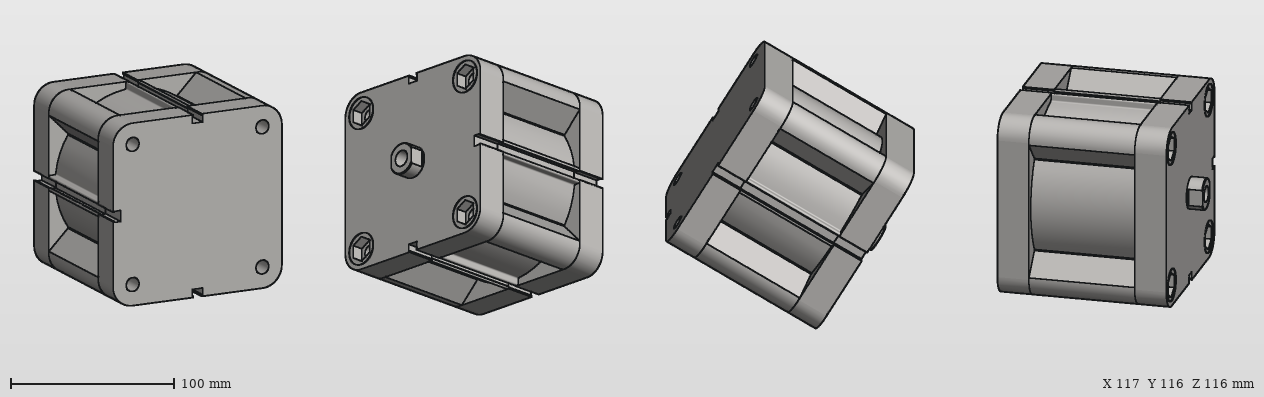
import cadquery as cq
import math

body_width = 116.0
half_width = body_width / 2
corner_radius = 13.5
bolt_offset = half_width - corner_radius
cap_length = 20.0
tube_length = 67.0

bolt_hole_diameter = 8.8
socket_recess_diameter = 20.5
socket_recess_depth = 0.5
hex_across_flats = 14.0
hex_depth = 7.5
hex_corner_diameter = hex_across_flats / math.cos(math.pi / 6)

slot_mouth_width = 6.0
slot_inner_width = 7.0
slot_angles = (0, 90, 180)
cap_slot_depth = 5.3
cap_lip_depth = 1.0

barrel_radius = 53.5
pocket_floor = 44.8
lobe_edge = 43.2
rib_width = 10.0
rib_fillet = 1.0
slot_mouth_fillet = 0.5
tube_slot_depth = 4.8
tube_lip_depth = 1.5

rod_diameter = 20.0
rod_projection = 10.0
rod_chamfer = 0.5
rod_across_flats = 17.0
rod_flat_length = 9.0
thread_hole_diameter = 10.2
thread_hole_depth = 20.0
drill_point_angle = 118.0

tube_start = cap_length
rear_cap_start = tube_start + tube_length


def section(x):
    """Workplane across the axis at x; local axes are global Y and Z."""
    return cq.Workplane("YZ", origin=(x, 0, 0))


def bolt_points(plane):
    spacing = 2 * bolt_offset
    return plane.rect(spacing, spacing, forConstruction=True).vertices()


def on_slot_sides(feature):
    """Copy a feature made at +Z to every side that carries a slot."""
    copies = cq.Workplane("XY")
    for angle in slot_angles:
        copies = copies.add(feature.rotate((0, 0, 0), (1, 0, 0), angle))
    return copies.combine()


def slot_cutter(start, length, depth, lip_depth):
    """T-slot open on the +Z side and undercut below a lip."""
    mouth = section(start).center(0, half_width - depth / 2).rect(slot_mouth_width, depth).extrude(length)
    inner_depth = depth - lip_depth
    inner_middle = half_width - lip_depth - inner_depth / 2
    inner = section(start).center(0, inner_middle).rect(slot_inner_width, inner_depth).extrude(length)
    return mouth.union(inner)


def make_cap(start):
    cap = section(start).rect(body_width, body_width).extrude(cap_length)
    cap = cap.edges("|X").fillet(corner_radius)
    cap = cap.cut(bolt_points(section(start)).circle(bolt_hole_diameter / 2).extrude(cap_length))
    return cap.cut(on_slot_sides(slot_cutter(start, cap_length, cap_slot_depth, cap_lip_depth)))


def make_front_cap():
    cap = make_cap(0)
    recess = bolt_points(section(0)).circle(socket_recess_diameter / 2).extrude(socket_recess_depth)
    hexagon = cq.Sketch().regularPolygon(hex_corner_diameter / 2, 6)
    hexes = bolt_points(section(socket_recess_depth)).placeSketch(hexagon).extrude(hex_depth)
    rod_bore = section(0).circle(rod_diameter / 2).extrude(cap_length)
    return cap.cut(recess).cut(hexes).cut(rod_bore)


def make_lobe_block():
    """Square core whose corners flare out along 45 degree facets to round bolt lobes."""
    rise = math.sqrt(corner_radius ** 2 - (bolt_offset - lobe_edge) ** 2)
    lobe_height = bolt_offset + rise
    facet_foot = lobe_edge - (lobe_height - pocket_floor)
    lobe_middle = bolt_offset + corner_radius * math.sqrt(0.5)

    outline = section(tube_start).moveTo(-facet_foot, pocket_floor)
    quarter = [
        (facet_foot, pocket_floor),
        (lobe_edge, lobe_height),
        (lobe_middle, lobe_middle),
        (lobe_height, lobe_edge),
        (pocket_floor, facet_foot),
    ]
    for _ in range(4):
        floor_end, lobe_start, lobe_mid, lobe_end, facet_end = quarter
        outline = outline.lineTo(*floor_end).lineTo(*lobe_start)
        outline = outline.threePointArc(lobe_mid, lobe_end).lineTo(*facet_end)
        quarter = [(v, -u) for u, v in quarter]
    return outline.close().extrude(tube_length)


def make_rib():
    """Plain rib on the +Z side, rounded along its two outer edges."""
    rib = section(tube_start).center(0, half_width / 2).rect(rib_width, half_width).extrude(tube_length)
    return rib.edges("|X and >Z").fillet(rib_fillet)


def make_rib_and_barrel():
    """Round barrel with a rib on each slot side and a fillet along each rib foot."""
    barrel = section(tube_start).circle(barrel_radius).extrude(tube_length)
    barrel = barrel.union(on_slot_sides(make_rib()))
    half_rib = rib_width / 2
    rib_foot = math.sqrt(barrel_radius ** 2 - half_rib ** 2)
    middle = tube_start + tube_length / 2
    for angle in slot_angles:
        turn = math.radians(angle)
        for u in (-half_rib, half_rib):
            y = u * math.cos(turn) - rib_foot * math.sin(turn)
            z = u * math.sin(turn) + rib_foot * math.cos(turn)
            foot_edge = cq.selectors.NearestToPointSelector((middle, y, z))
            barrel = barrel.edges("|X").edges(foot_edge).fillet(rib_fillet)
    return barrel


def make_tube_slot():
    """Slot through the rib with a mouth that widens in a small round."""
    cutter = slot_cutter(tube_start, tube_length, tube_slot_depth, tube_lip_depth)
    half_mouth = slot_mouth_width / 2
    r = slot_mouth_fillet
    flare = (
        section(tube_start)
        .moveTo(-half_mouth - r, half_width)
        .radiusArc((-half_mouth, half_width - r), r)
        .lineTo(half_mouth, half_width - r)
        .radiusArc((half_mouth + r, half_width), r)
        .close()
        .extrude(tube_length)
    )
    return cutter.union(flare)


def make_tube():
    tube = make_lobe_block().union(make_rib_and_barrel())
    tube = tube.cut(on_slot_sides(make_tube_slot()))
    holes = bolt_points(section(tube_start)).circle(bolt_hole_diameter / 2).extrude(tube_length)
    return tube.cut(holes)


def make_rod():
    tip = -rod_projection
    rod = section(tip).circle(rod_diameter / 2).extrude(rod_projection + cap_length)
    rod = rod.faces("<X").edges().chamfer(rod_chamfer)
    flats = (
        section(tip)
        .rect(2 * rod_diameter, 2 * rod_diameter)
        .rect(rod_across_flats, 2 * rod_diameter)
        .extrude(rod_flat_length)
    )
    radius = thread_hole_diameter / 2
    point_length = radius / math.tan(math.radians(drill_point_angle / 2))
    thread_hole = (
        cq.Workplane("XY", origin=(tip, 0, 0))
        .polyline([(0, 0), (0, radius), (thread_hole_depth, radius), (thread_hole_depth + point_length, 0)])
        .close()
        .revolve(360, (0, 0, 0), (1, 0, 0))
    )
    return rod.cut(flats).cut(thread_hole)


front_cap = make_front_cap()
tube = make_tube()
rear_cap = make_cap(rear_cap_start)
rod = make_rod()

result = cq.Compound.makeCompound([front_cap.val(), tube.val(), rear_cap.val(), rod.val()])